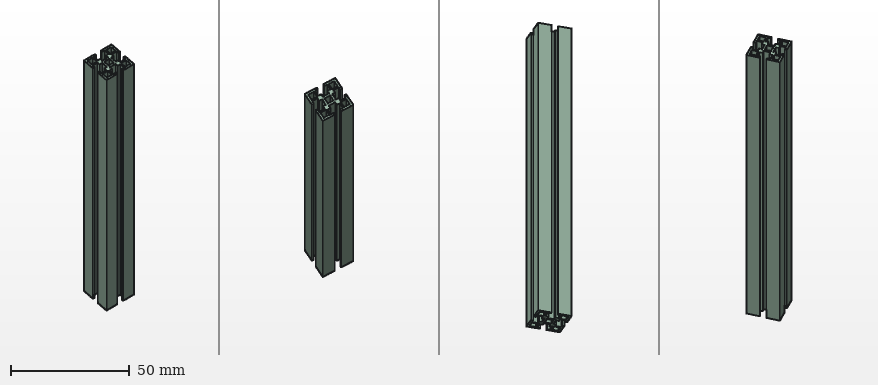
import cadquery as cq

length = 139.0
width = 15.0

slot_opening = 3.0
slot_inner_width = 5.8
slot_lip = 1.0
slot_inner_depth = 3.6
slot_depth = 5.0

hole_size = 2.8
corner_wall = 1.1

half_width = width / 2
slot_inner_half = slot_inner_width / 2
corner_pitch = width - 2 * corner_wall - hole_size


def slot_cutter():
    """T-slot in the +X side: open lips, wide middle and narrow bottom."""
    opening = slot_opening / 2
    lip_face = half_width - slot_lip
    step = half_width - slot_inner_depth
    floor = half_width - slot_depth
    upper = [
        (half_width, opening),
        (lip_face, opening),
        (lip_face, slot_inner_half),
        (step, slot_inner_half),
        (step, opening),
        (floor, opening),
    ]
    lower = [(x, -y) for x, y in reversed(upper)]
    return cq.Workplane("XY").polyline(upper + lower).close().extrude(length)


body = cq.Workplane("XY").rect(width, width).extrude(length)

for quarter_turn in range(4):
    body = body.cut(slot_cutter().rotate((0, 0, 0), (0, 0, 1), 90 * quarter_turn))

core_cutter = cq.Workplane("XY").rect(hole_size, hole_size).extrude(length)
body = body.cut(core_cutter)

corner_cutters = (
    cq.Workplane("XY")
    .rect(corner_pitch, corner_pitch, forConstruction=True)
    .vertices()
    .rect(hole_size, hole_size)
    .extrude(length)
)
result = body.cut(corner_cutters)